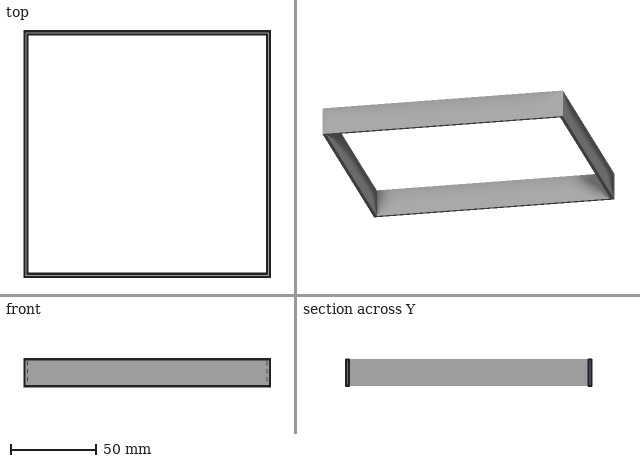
import cadquery as cq

outer_side = 144.0
height = 16.0
wall_thickness = 2.0

inner_side = outer_side - 2 * wall_thickness

result = (
    cq.Workplane("XY")
    .rect(outer_side, outer_side)
    .rect(inner_side, inner_side)
    .extrude(height)
)